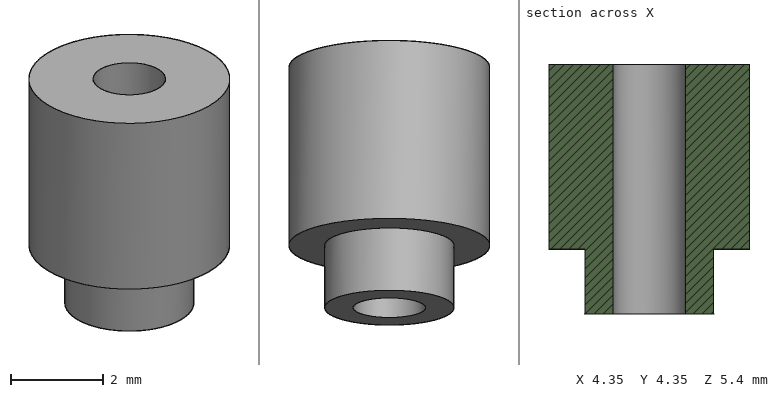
import cadquery as cq

total_height = 5.4
spigot_height = 1.4
body_diameter = 4.35
spigot_diameter = 2.8
bore_diameter = 1.565

body_height = total_height - spigot_height

spigot = cq.Workplane("XY").circle(spigot_diameter / 2).extrude(spigot_height)

stepped_bushing = spigot.faces(">Z").workplane().circle(body_diameter / 2).extrude(body_height)

result = stepped_bushing.faces(">Z").workplane().hole(bore_diameter)